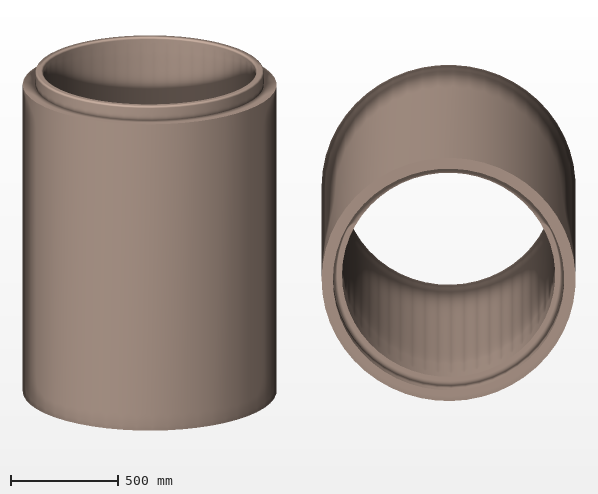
import cadquery as cq

height = 1574.0
body_diameter = 1185.0
bore_diameter = 995.0

spigot_diameter = 1067.0
spigot_height = 70.0
rim_fillet = 10.0

joint_gap = 6.0
socket_depth = spigot_height + joint_gap

body_radius = body_diameter / 2
bore_radius = bore_diameter / 2
spigot_radius = spigot_diameter / 2
socket_radius = spigot_radius + joint_gap
shoulder_z = height - spigot_height

wall_section = (
    cq.Workplane("XZ")
    .moveTo(socket_radius, 0)
    .lineTo(body_radius, 0)
    .lineTo(body_radius, shoulder_z)
    .lineTo(spigot_radius, shoulder_z)
    .lineTo(spigot_radius, height)
    .lineTo(bore_radius, height)
    .lineTo(bore_radius, socket_depth)
    .lineTo(socket_radius, socket_depth)
    .close()
)

pipe = wall_section.revolve(360, (0, 0, 0), (0, 1, 0))

result = pipe.faces(">Z").edges("%CIRCLE").fillet(rim_fillet)